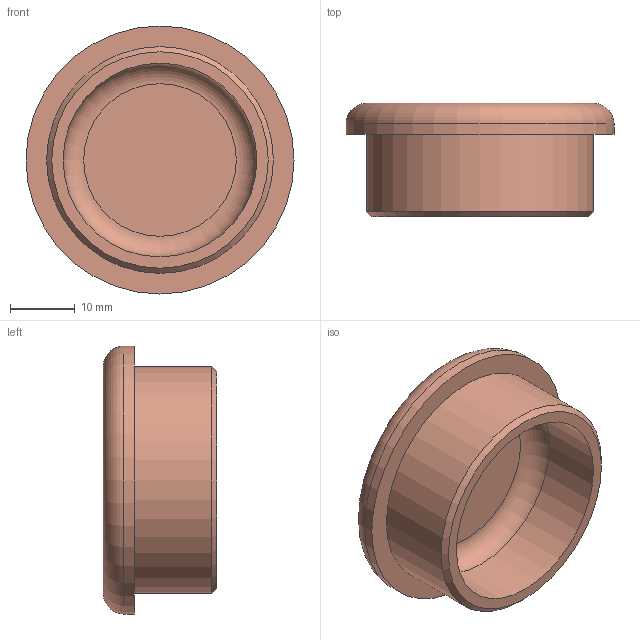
import cadquery as cq

flange_diameter = 41.275
flange_thickness = 4.7625
flange_edge_radius = 3.175

overall_length = 17.4625
plug_diameter = 34.925
plug_tip_chamfer = 0.79375

bore_diameter = 29.845
bore_floor_thickness = 4.7625
bore_floor_radius = 3.175

plug_length = overall_length - flange_thickness
bore_depth = overall_length - bore_floor_thickness


def disc(diameter, start_y, length):
    """Cylinder on the Y axis, running from start_y towards +Y."""
    plane = cq.Workplane("XZ", origin=(0, start_y, 0))
    return plane.circle(diameter / 2).extrude(-length)


def make_flange():
    """Flange at the +Y end with a rounded outer rim."""
    flange = disc(flange_diameter, plug_length, flange_thickness)
    return flange.faces(">Y").edges().fillet(flange_edge_radius)


def make_plug():
    """Plug with its tip at Y = 0, chamfered for insertion."""
    plug = disc(plug_diameter, 0, plug_length)
    return plug.faces("<Y").edges().chamfer(plug_tip_chamfer)


def make_bore():
    """Bore volume with a rounded corner around its floor."""
    bore = disc(bore_diameter, 0, bore_depth)
    return bore.faces(">Y").edges().fillet(bore_floor_radius)


result = make_flange().union(make_plug()).cut(make_bore())